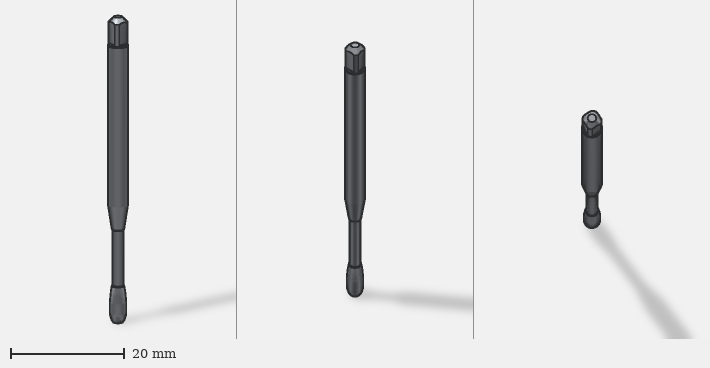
import cadquery as cq

length = 56.1
shank_radius = 3.6 / 2
neck_radius = 2.0 / 2

drive_radius = 3.4 / 2
drive_flats = 2.9
flat_bottom = 51.35
ramp_drop = 0.55
shank_top = 50.8
shoulder_height = 0.2
point_radius = 0.75

taper_top = 21.6
taper_bottom = 17.15
step = 0.1
step_height = 0.15

head_radius = 2.9 / 2
head_top = 6.85
swell_bottom = 3.7
swell_middle_radius = 1.35
nose_top = 1.7
nose_bottom = 0.5
nose_bottom_radius = 1.2
nose_middle_radius = 1.375
tip_radius = 0.85

point_height = drive_radius - point_radius
step_radius = neck_radius + step
swell_top = head_top - step_height


def turned(profile):
    """Revolve a closed radius-height profile about the tool axis."""
    return profile.close().revolve(360, (0, 0, 0), (0, 1, 0))


def shank_blank():
    """Round shank with 45 degree conical point, taper and neck, ending on the head."""
    return turned(
        cq.Workplane("XZ")
        .moveTo(0, head_top)
        .lineTo(neck_radius, head_top)
        .lineTo(neck_radius, taper_bottom - step_height)
        .lineTo(step_radius, taper_bottom)
        .lineTo(shank_radius, taper_top)
        .lineTo(shank_radius, shank_top)
        .lineTo(drive_radius, shank_top + shoulder_height)
        .lineTo(drive_radius, length - point_height)
        .lineTo(point_radius, length)
        .lineTo(0, length)
    )


def flat_cutter():
    """Prism that cuts one drive flat with a 45 degree run-out at its foot."""
    flat = drive_flats / 2
    outer = flat + ramp_drop
    return (
        cq.Workplane("XZ")
        .polyline([
            (flat, length),
            (flat, flat_bottom),
            (outer, flat_bottom - ramp_drop),
            (outer, length),
        ])
        .close()
        .extrude(shank_radius, both=True)
    )


def make_shank():
    """Shank with four flats forming the drive square."""
    shank = shank_blank()
    for angle in (0, 90, 180, 270):
        shank = shank.cut(flat_cutter().rotate((0, 0, 0), (0, 0, 1), angle))
    return shank


def make_head():
    """Barrel-shaped head with a rounded nose and bevelled tip."""
    swell_middle = (swell_top + swell_bottom) / 2
    nose_middle = (nose_top + nose_bottom) / 2
    return turned(
        cq.Workplane("XZ")
        .lineTo(tip_radius, 0)
        .lineTo(nose_bottom_radius, nose_bottom)
        .threePointArc((nose_middle_radius, nose_middle), (head_radius, nose_top))
        .lineTo(head_radius, swell_bottom)
        .threePointArc((swell_middle_radius, swell_middle), (step_radius, swell_top))
        .lineTo(neck_radius, head_top)
        .lineTo(0, head_top)
    )


shank = make_shank()
head = make_head()
result = cq.Compound.makeCompound([shank.val(), head.val()])